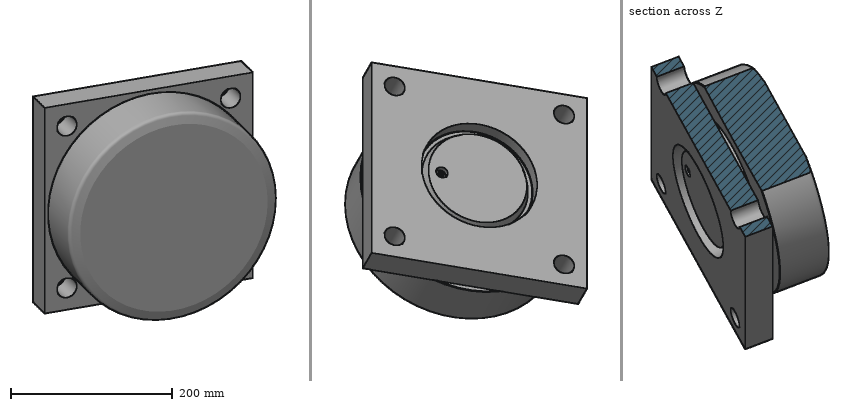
import cadquery as cq
import math

plate_side = 280
plate_thickness = 37.8
mount_hole_diameter = 26.3
mount_hole_pitch = 220.0

neck_diameter = 188.0
wheel_gap = 9.5

overall_length = 119.0
wheel_radius = plate_side / 2
dish_rise = 0.8
rear_chamfer = 0.8
front_face_radius = 126
front_cone_angle = 15
front_round_radius = 5.0

recess_diameter = 150.0
recess_depth = 18.5
floor_diameter = 148.5
floor_step = 0.3

boss_base_diameter = 138.0
boss_top_diameter = 127.7
boss_height = 11.5
boss_top_x = recess_depth - boss_height

nipple_offset = 46.5
pocket_diameter = 15.0
pocket_depth = 7.5
pocket_floor_x = boss_top_x + pocket_depth
nipple_base_diameter = 7.5
nipple_base_height = 4.5
nipple_neck_diameter = 5.0
nipple_neck_height = 1.0
nipple_tip_diameter = 3.0
nipple_tip_height = 0.8


def disc(x_start, length, diameter, y=0):
    """Cylinder along +X that starts at x_start."""
    return cq.Workplane("YZ", origin=(x_start, y, 0)).circle(diameter / 2).extrude(length)


def turn(profile):
    """Solid of revolution about the X axis."""
    return profile.close().revolve(360, (0, 0, 0), (1, 0, 0))


def mounting_plate():
    """Square plate with a through hole near each corner."""
    plate = cq.Workplane("YZ").rect(plate_side, plate_side).extrude(plate_thickness)
    return (
        plate.faces("<X").workplane()
        .rect(mount_hole_pitch, mount_hole_pitch, forConstruction=True)
        .vertices()
        .hole(mount_hole_diameter)
    )


def neck_and_wheel():
    """Neck and wheel: coned rear face, plain tread, rounded edge and front cone."""
    neck_radius = neck_diameter / 2
    rear_x = plate_thickness + wheel_gap
    cone_slope = math.radians(front_cone_angle)

    corner_x = overall_length - (wheel_radius - front_face_radius) * math.tan(cone_slope)
    tangent_length = front_round_radius * math.tan((math.pi / 2 - cone_slope) / 2)
    tread_end = (corner_x - tangent_length, wheel_radius)
    cone_start = (
        corner_x + tangent_length * math.sin(cone_slope),
        wheel_radius - tangent_length * math.cos(cone_slope),
    )

    return turn(
        cq.Workplane("XY")
        .moveTo(plate_thickness, 0)
        .lineTo(plate_thickness, neck_radius)
        .lineTo(rear_x - dish_rise, neck_radius)
        .lineTo(rear_x, wheel_radius - rear_chamfer)
        .lineTo(rear_x + rear_chamfer, wheel_radius)
        .lineTo(*tread_end)
        .tangentArcPoint(cone_start, relative=False)
        .lineTo(overall_length, front_face_radius)
        .lineTo(overall_length, 0)
    )


def recess():
    """Material removed for the recess: wide bore and a shallow narrower step."""
    bore = disc(0, recess_depth - floor_step, recess_diameter)
    return bore.union(disc(0, recess_depth, floor_diameter))


def boss():
    """Cone frustum that narrows toward the open end of the recess."""
    return turn(
        cq.Workplane("XY")
        .moveTo(recess_depth, 0)
        .lineTo(recess_depth, boss_base_diameter / 2)
        .lineTo(boss_top_x, boss_top_diameter / 2)
        .lineTo(boss_top_x, 0)
    )


def nipple():
    """Concentric steps stacked from the pocket floor toward the open end."""
    steps = cq.Workplane("YZ")
    step_x = pocket_floor_x
    for diameter, height in (
        (nipple_base_diameter, nipple_base_height),
        (nipple_neck_diameter, nipple_neck_height),
        (nipple_tip_diameter, nipple_tip_height),
    ):
        step_x -= height
        steps = steps.add(disc(step_x, height, diameter, nipple_offset))
    return steps.combine()


pocket = disc(boss_top_x, pocket_depth, pocket_diameter, nipple_offset)

result = (
    mounting_plate()
    .union(neck_and_wheel())
    .cut(recess())
    .union(boss())
    .cut(pocket)
    .union(nipple())
)